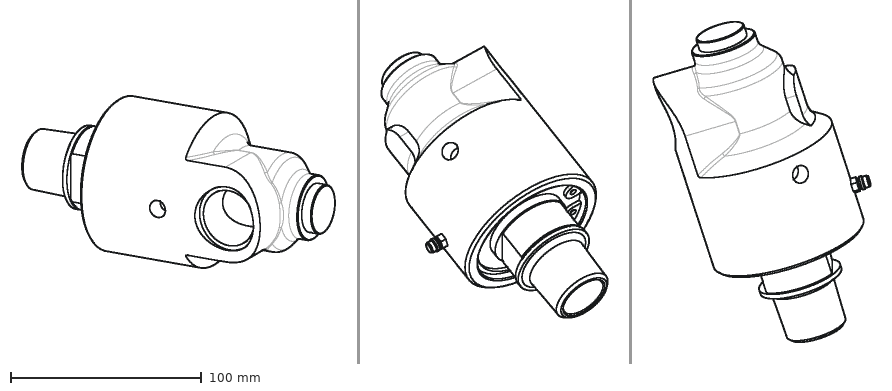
import cadquery as cq
import math

TOTAL_LENGTH = 172.5
OVERALL_WIDTH = 92.0

TUBE_TIP_RADIUS = 16.2
TUBE_ROOT_RADIUS = 16.9
TUBE_CHAMFER = 1.7
TUBE_ROOT_X = 25.9
FLANGE_X = 28.6
FLANGE_END_X = 31.2
TUBE_FILLET_TOP_RADIUS = 20.0
COLLAR_RADIUS = 44.7 / 2
COLLAR_CHAMFER = 0.7
FLAT_HALF_WIDTH = 18.0
FLAT_END_X = 50.5
RELIEF_WIDTH = 0.5
RELIEF_DEPTH = 0.3
TUBE_FILLET_SAG = 0.5
BORE_DIAMETER = 25.0
BORE_CHAMFER = 0.7

HOUSING_X = 49.0
HOUSING_END_X = 107.1
HOUSING_RADIUS = 82.6 / 2
HOUSING_CHAMFER = 1.5
RECESS_FLOOR_X = 55.4
RECESS_RADIUS = 68.2 / 2
RECESS_CHAMFER = 0.7

RING_THICKNESS = 2.0
RING_INNER_RADIUS = 33.3
RING_OFFSET = 1.9
LUG_RADIUS = 4.7
LUG_HOLE_DIAMETER = 3.5
LUG_Y = -28.6
LUG_Z = 9.5
LUG_SHOULDER_Z = 15.2

CONE_END_X = 114.7
CONE_END_RADIUS = 31.2
CONE_BLEND_SAG = 1.2
NECK_X = 123.9
NECK_RADIUS = 26.5
NECK_END_X = 147.5
NECK_SHOULDER_X = 151.5
NECK_SHOULDER_RADIUS = 24.7
SHOULDER_SAG = 0.5
STUB_FILLET_X = 157.0
STUB_FILLET_RADIUS = 19.2
STUB_FILLET_SAG = 0.43
STUB_X = 161.2
STUB_RADIUS = 17.5
STUB_END_X = 166.7
STUB_CHAMFER = 0.5
TIP_RADIUS = 13.1
TIP_CHAMFER = 0.5

BOSS_CENTER_X = 131.1
ARM_HALF_WIDTH = 26.2
PORT_X = 135.8
PORT_DIAMETER = 30.4
PORT_MOUTH_DIAMETER = 35.0
PORT_MOUTH_FLOOR_Y = -36.2
CORE_RADIUS = 15.4
JOINT_FILLET = 2.0

PAD_RADIUS = 31.7
PAD_HALF_WIDTH = 12.6
PAD_BLEND_X = 112.2
PAD_BLEND_RADIUS = 34.3
PAD_BLEND_SAG = 0.7
PAD_TOP_X = 120.0
PAD_TOP_END_X = 140.6
PAD_FOOT_X = 144.2

RADIAL_HOLE_X = 96.0
RADIAL_HOLE_DIAMETER = 9.3
RADIAL_HOLE_DEPTH = 11.2
RADIAL_HOLE_COUNT = 3

NIPPLE_X = 71.0
NIPPLE_TOP_Y = OVERALL_WIDTH - HOUSING_RADIUS
NIPPLE_HEX_TOP_Y = 44.3
NIPPLE_HEX_WIDTH = 7.0
NIPPLE_NECK_RADIUS = 2.8
NIPPLE_NECK_END_Y = 45.0
NIPPLE_BEAD_RADIUS = 3.6
NIPPLE_BEAD_START_Y = 46.0
NIPPLE_BEAD_END_Y = 47.3
NIPPLE_HEAD_RADIUS = 3.1
NIPPLE_HEAD_START_Y = 47.8
NIPPLE_HEAD_END_Y = 49.9
NIPPLE_TIP_RADIUS = 5.3 / 2
NIPPLE_EMBEDDING = 1.7


def cylinder_x(radius, start, end):
    return cq.Workplane("YZ", origin=(start, 0, 0)).circle(radius).extrude(end - start)


def cylinder_y(diameter, x, start_y, end_y):
    plane = cq.Workplane("XZ", origin=(x, start_y, 0))
    return plane.circle(diameter / 2).extrude(start_y - end_y)


def about_x(profile):
    return profile.close().revolve(360, (0, 0, 0), (1, 0, 0))


def blend_point(start, end, sag):
    """Middle point of an arc between two points, shifted towards the axis."""
    return (start[0] + end[0]) / 2, (start[1] + end[1]) / 2 - sag


def make_rotor():
    tube_root = (TUBE_ROOT_X, TUBE_ROOT_RADIUS)
    fillet_top = (FLANGE_X, TUBE_FILLET_TOP_RADIUS)
    profile = (
        cq.Workplane("XY")
        .moveTo(0, 0)
        .lineTo(0, TUBE_TIP_RADIUS - TUBE_CHAMFER)
        .lineTo(TUBE_CHAMFER, TUBE_TIP_RADIUS)
        .lineTo(*tube_root)
        .threePointArc(blend_point(tube_root, fillet_top, TUBE_FILLET_SAG), fillet_top)
        .lineTo(FLANGE_X, COLLAR_RADIUS)
        .lineTo(FLANGE_END_X, COLLAR_RADIUS)
        .lineTo(FLANGE_END_X, COLLAR_RADIUS - COLLAR_CHAMFER)
        .lineTo(FLANGE_END_X + COLLAR_CHAMFER, COLLAR_RADIUS)
        .lineTo(FLAT_END_X - RELIEF_WIDTH, COLLAR_RADIUS)
        .lineTo(FLAT_END_X - RELIEF_WIDTH, COLLAR_RADIUS - RELIEF_DEPTH)
        .lineTo(FLAT_END_X, COLLAR_RADIUS - RELIEF_DEPTH)
        .lineTo(FLAT_END_X, COLLAR_RADIUS)
        .lineTo(RECESS_FLOOR_X, COLLAR_RADIUS)
        .lineTo(RECESS_FLOOR_X, 0)
    )
    rotor = about_x(profile)
    flat_length = FLAT_END_X - FLANGE_END_X
    flat_depth = COLLAR_RADIUS
    for side in (1, -1):
        rotor = rotor.cut(
            cq.Workplane("XY")
            .box(flat_length, flat_depth, 2 * COLLAR_RADIUS)
            .translate((FLANGE_END_X + flat_length / 2, side * (FLAT_HALF_WIDTH + flat_depth / 2), 0))
        )
    return rotor


def make_housing():
    cone_end = (CONE_END_X, CONE_END_RADIUS)
    neck_start = (NECK_X, NECK_RADIUS)
    neck_end = (NECK_END_X, NECK_RADIUS)
    shoulder = (NECK_SHOULDER_X, NECK_SHOULDER_RADIUS)
    stub_fillet = (STUB_FILLET_X, STUB_FILLET_RADIUS)
    stub_start = (STUB_X, STUB_RADIUS)
    profile = (
        cq.Workplane("XY")
        .moveTo(HOUSING_X, 0)
        .lineTo(HOUSING_X, HOUSING_RADIUS - HOUSING_CHAMFER)
        .lineTo(HOUSING_X + HOUSING_CHAMFER, HOUSING_RADIUS)
        .lineTo(HOUSING_END_X, HOUSING_RADIUS)
        .lineTo(*cone_end)
        .threePointArc(blend_point(cone_end, neck_start, CONE_BLEND_SAG), neck_start)
        .lineTo(*neck_end)
        .threePointArc(blend_point(neck_end, shoulder, -SHOULDER_SAG), shoulder)
        .lineTo(*stub_fillet)
        .threePointArc(blend_point(stub_fillet, stub_start, STUB_FILLET_SAG), stub_start)
        .lineTo(STUB_END_X - STUB_CHAMFER, STUB_RADIUS)
        .lineTo(STUB_END_X, STUB_RADIUS - STUB_CHAMFER)
        .lineTo(STUB_END_X, TIP_RADIUS)
        .lineTo(TOTAL_LENGTH - TIP_CHAMFER, TIP_RADIUS)
        .lineTo(TOTAL_LENGTH, TIP_RADIUS - TIP_CHAMFER)
        .lineTo(TOTAL_LENGTH, 0)
    )
    return about_x(profile)


def side_boss(start_x, half_width, direction):
    """Round-ended boss running from the axis out to the housing radius."""
    return (
        cq.Workplane("XZ")
        .moveTo(start_x, -half_width)
        .lineTo(BOSS_CENTER_X, -half_width)
        .threePointArc((BOSS_CENTER_X + half_width, 0), (BOSS_CENTER_X, half_width))
        .lineTo(start_x, half_width)
        .close()
        .extrude(-direction * HOUSING_RADIUS)
    )


def make_arm():
    """Port arm under the housing cylinder."""
    arm_end_x = BOSS_CENTER_X + ARM_HALF_WIDTH
    envelope = cylinder_x(HOUSING_RADIUS, HOUSING_END_X, arm_end_x)
    return side_boss(HOUSING_END_X, ARM_HALF_WIDTH, -1).intersect(envelope)


def make_pad():
    """Low pad whose outer surface blends into the cone and slopes down at its end."""
    blend_start = (PAD_BLEND_X, PAD_BLEND_RADIUS)
    top_start = (PAD_TOP_X, PAD_RADIUS)
    envelope = (
        cq.Workplane("XY")
        .moveTo(PAD_BLEND_X, 0)
        .lineTo(*blend_start)
        .threePointArc(blend_point(blend_start, top_start, PAD_BLEND_SAG), top_start)
        .lineTo(PAD_TOP_END_X, PAD_RADIUS)
        .lineTo(PAD_FOOT_X, NECK_RADIUS)
        .lineTo(PAD_FOOT_X, 0)
    )
    return side_boss(PAD_BLEND_X, PAD_HALF_WIDTH, 1).intersect(about_x(envelope))


def round_arm_joint(body):
    """Round the inner corner along the arm. The rounding runs on from the cone to the whole joint."""
    corner = cq.selectors.BoxSelector(
        (HOUSING_END_X, -CONE_END_RADIUS, -ARM_HALF_WIDTH - JOINT_FILLET),
        (CONE_END_X, -CONE_END_RADIUS / 2, ARM_HALF_WIDTH + JOINT_FILLET),
    )
    return body.edges(corner).edges("not %CIRCLE").fillet(JOINT_FILLET)


def cut_recess(housing):
    recess = cylinder_x(RECESS_RADIUS, HOUSING_X, RECESS_FLOOR_X)
    recess = recess.union(
        cq.Workplane("YZ", origin=(HOUSING_X, 0, 0))
        .circle(RECESS_RADIUS + RECESS_CHAMFER)
        .workplane(offset=RECESS_CHAMFER)
        .circle(RECESS_RADIUS)
        .loft()
    )
    return housing.cut(recess)


def make_retaining_ring():
    start_x = RECESS_FLOOR_X - RING_THICKNESS
    plane = cq.Workplane("YZ", origin=(start_x, 0, 0))
    disc = plane.circle(RECESS_RADIUS).extrude(RING_THICKNESS)
    ring = disc.cut(plane.center(-RING_OFFSET, 0).circle(RING_INNER_RADIUS).extrude(RING_THICKNESS))
    gap_width = 2 * (LUG_Z - LUG_RADIUS)
    gap = plane.center(-RECESS_RADIUS, 0).rect(RECESS_RADIUS, gap_width).extrude(RING_THICKNESS)
    diagonal_reach = LUG_RADIUS * math.sin(math.radians(45))
    ring = ring.cut(gap)
    for side in (1, -1):
        center = (LUG_Y, side * LUG_Z)
        lug = plane.center(*center).circle(LUG_RADIUS).extrude(RING_THICKNESS)
        web = (
            plane.moveTo(LUG_Y, side * (LUG_Z - LUG_RADIUS))
            .lineTo(-RECESS_RADIUS, side * (LUG_Z - LUG_RADIUS))
            .lineTo(-RECESS_RADIUS, side * RECESS_RADIUS)
            .lineTo(LUG_Y, side * RECESS_RADIUS)
            .lineTo(LUG_Y, side * LUG_SHOULDER_Z)
            .lineTo(LUG_Y + diagonal_reach, side * (LUG_Z + diagonal_reach))
            .close()
            .extrude(RING_THICKNESS)
        )
        hole = plane.center(*center).circle(LUG_HOLE_DIAMETER / 2).extrude(RING_THICKNESS)
        ring = ring.union(lug.union(web).intersect(disc)).cut(hole)
    return ring


def cut_port(body):
    bore = cylinder_y(PORT_DIAMETER, PORT_X, 0, -HOUSING_RADIUS)
    core = cylinder_x(CORE_RADIUS, HOUSING_END_X, TOTAL_LENGTH)
    mouth = cylinder_y(PORT_MOUTH_DIAMETER, PORT_X, PORT_MOUTH_FLOOR_Y, -HOUSING_RADIUS)
    return body.cut(bore.cut(core)).cut(mouth)


def cut_radial_holes(body):
    floor_y = RADIAL_HOLE_DEPTH - HOUSING_RADIUS
    hole = cylinder_y(RADIAL_HOLE_DIAMETER, RADIAL_HOLE_X, floor_y, -HOUSING_RADIUS)
    for index in range(RADIAL_HOLE_COUNT):
        body = body.cut(hole.rotate((0, 0, 0), (1, 0, 0), index * 360 / RADIAL_HOLE_COUNT))
    return body


def make_nipple():
    seat_y = HOUSING_RADIUS - NIPPLE_EMBEDDING
    hexagon = (
        cq.Workplane("XZ", origin=(NIPPLE_X, seat_y, 0))
        .polygon(6, NIPPLE_HEX_WIDTH / math.cos(math.radians(30)))
        .extrude(seat_y - NIPPLE_HEX_TOP_Y)
    )
    head = (
        cq.Workplane("XY", origin=(NIPPLE_X, 0, 0))
        .moveTo(0, seat_y)
        .lineTo(NIPPLE_NECK_RADIUS, seat_y)
        .lineTo(NIPPLE_NECK_RADIUS, NIPPLE_NECK_END_Y)
        .lineTo(NIPPLE_BEAD_RADIUS, NIPPLE_BEAD_START_Y)
        .lineTo(NIPPLE_BEAD_RADIUS, NIPPLE_BEAD_END_Y)
        .lineTo(NIPPLE_HEAD_RADIUS, NIPPLE_HEAD_START_Y)
        .lineTo(NIPPLE_HEAD_RADIUS, NIPPLE_HEAD_END_Y)
        .lineTo(NIPPLE_TIP_RADIUS, NIPPLE_TOP_Y)
        .lineTo(0, NIPPLE_TOP_Y)
        .close()
        .revolve(360, (0, 0, 0), (0, 1, 0))
    )
    return hexagon.union(head)


def cut_rotor_bore(body):
    bore = cylinder_x(BORE_DIAMETER / 2, 0, HOUSING_END_X)
    mouth = (
        cq.Workplane("YZ")
        .circle(BORE_DIAMETER / 2 + BORE_CHAMFER)
        .workplane(offset=BORE_CHAMFER)
        .circle(BORE_DIAMETER / 2)
        .loft()
    )
    return body.cut(bore).cut(mouth)


body = make_housing()
body = round_arm_joint(body.union(make_arm()))
body = body.union(make_pad())
body = cut_recess(body)
body = cut_port(body)
body = cut_radial_holes(body)
body = body.union(make_rotor()).union(make_retaining_ring()).union(make_nipple())
result = cut_rotor_bore(body)